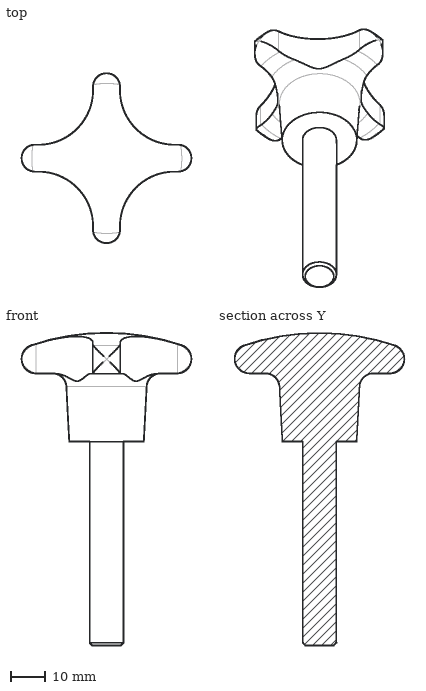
import cadquery as cq
import math


arm_count = 4
span = 50.0
arm_width = 8.0
hollow_offset = 20.0
head_depth = 12.0
tip_edge_radius = 4.3

knob_height = 32.0
hub_base_radius = 11.0
hub_taper = 3.0
neck_radius = 4.0

stud_diameter = 10.0
stud_length = 60.0
stud_chamfer = 0.8

outer_radius = span / 2
half_width = arm_width / 2
tip_center = outer_radius - half_width
hollow_radius = math.hypot(hollow_offset - tip_center, hollow_offset) - half_width
underside_z = knob_height - head_depth
rim_center_r = outer_radius - tip_edge_radius
rim_center_z = underside_z + tip_edge_radius
rim_drop = knob_height - rim_center_z
dome_radius = (rim_center_r**2 + rim_drop**2 - tip_edge_radius**2) / (2 * (rim_drop - tip_edge_radius))
dome_center_z = knob_height - dome_radius


def dome_point(angle_from_axis):
    """Point (r, z) on the dome's arc."""
    return (dome_radius * math.sin(angle_from_axis), dome_center_z + dome_radius * math.cos(angle_from_axis))


def turned_knob():
    """Hub, neck fillet, underside, rounded rim and dome as one solid of revolution."""
    taper = math.radians(hub_taper)
    rim_angle = math.atan2(rim_center_r, rim_center_z - dome_center_z)

    neck_center_z = underside_z - neck_radius
    neck_center_r = hub_base_radius + neck_center_z * math.tan(taper) + neck_radius / math.cos(taper)

    def neck_point(angle):
        """Point on the neck fillet, with the angle measured up from the inward direction."""
        return (neck_center_r - neck_radius * math.cos(angle), neck_center_z + neck_radius * math.sin(angle))

    hub_top = neck_point(taper)
    neck_middle = neck_point((taper + math.pi / 2) / 2)
    neck_end = neck_point(math.pi / 2)

    profile = (
        cq.Workplane("XZ")
        .moveTo(0, 0)
        .lineTo(hub_base_radius, 0)
        .lineTo(*hub_top)
        .threePointArc(neck_middle, neck_end)
        .lineTo(rim_center_r, underside_z)
        .threePointArc((outer_radius, rim_center_z), dome_point(rim_angle))
        .threePointArc(dome_point(rim_angle / 2), (0, knob_height))
        .close()
    )
    return profile.revolve(360, (0, 0, 0), (0, 1, 0))


def star_prism():
    """Four-armed star in plan: rounded tips running tangentially into round hollows."""
    hollow_middle = hollow_offset - hollow_radius * math.sqrt(0.5)

    join_angle = math.atan2(hollow_offset, hollow_offset - tip_center)
    join_x = tip_center + half_width * math.cos(join_angle)
    join_y = half_width * math.sin(join_angle)

    def turned(x, y, quarter):
        """Point (x, y) turned about the axis by a number of quarter turns."""
        for _ in range(quarter):
            x, y = -y, x
        return (x, y)

    outline = cq.Workplane("XY").moveTo(join_x, -join_y)
    for quarter in range(arm_count):
        tip = turned(outer_radius, 0, quarter)
        tip_end = turned(join_x, join_y, quarter)
        hollow = turned(hollow_middle, hollow_middle, quarter)
        hollow_end = turned(join_y, join_x, quarter)
        outline = outline.threePointArc(tip, tip_end).threePointArc(hollow, hollow_end)
    return outline.close().extrude(knob_height)


def stud():
    """Plain round stud below the hub with a chamfered end."""
    return (
        cq.Workplane("XY")
        .circle(stud_diameter / 2)
        .extrude(-stud_length)
        .faces("<Z")
        .chamfer(stud_chamfer)
    )


result = turned_knob().intersect(star_prism()).union(stud())